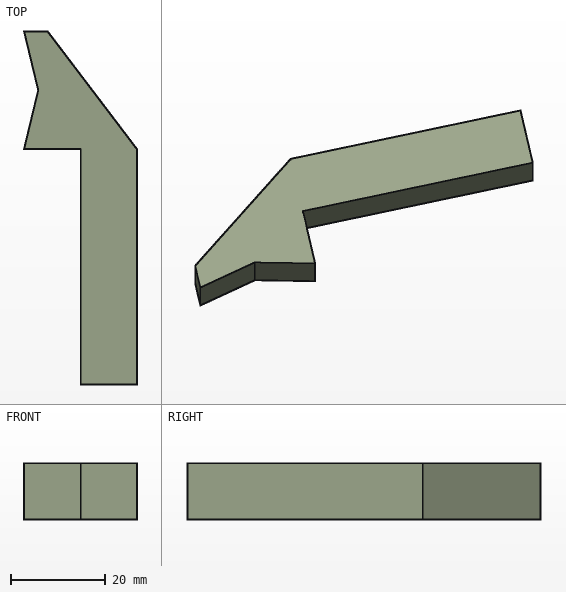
import cadquery as cq

total_length = 75.1
thickness = 12.0
shank_width = 12.0
head_width = 2 * shank_width
head_length = total_length / 3
tip_width = 5.0
notch_depth = 3.0

shank_length = total_length - head_length
shank_left = head_width - shank_width
notch_y = shank_length + head_length / 2

outline = [
    (shank_left, 0),
    (head_width, 0),
    (head_width, shank_length),
    (tip_width, total_length),
    (0, total_length),
    (notch_depth, notch_y),
    (0, shank_length),
    (shank_left, shank_length),
]

result = cq.Workplane("XY").polyline(outline).close().extrude(thickness)